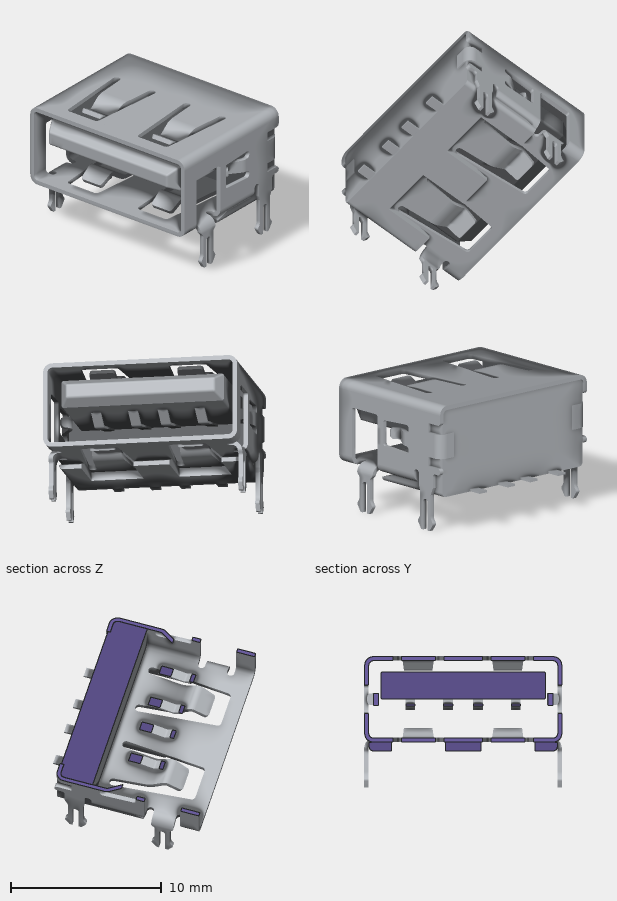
import cadquery as cq
import math

sheet = 0.3
shell_width = 13.1
shell_height = 5.7
shell_length = 10.0
corner_radius = 0.6
half_width = shell_width / 2
inner_half_width = half_width - sheet
mid_height = shell_height / 2

floor_end = 7.43
slot_width = 0.49
slot_top = 0.98
notch_front = 8.8
notch_bottom = 1.42
notch_top = 4.38
ear_radius = 0.21
wrap_tab_height = 1.66
wrap_tab_reach = 1.1

leg_stem_half = 0.52
leg_bottom = -3.0
front_leg_y = 2.535
leg_pitch = 6.0
leg_slit_width = 0.43
leg_slit_top = -0.87
barb_top = -2.115
barb_tip_z = -2.48
barb_tip_half = 0.76
barb_foot_half = 0.41
barb_root_radius = 0.5
barb_tip_radius = 0.17
front_leg_tab_half = 0.765
front_leg_bend_radius = 0.55
front_leg_shoulder = (-0.35, -0.595)
front_leg_shoulder_radii = (0.27, 0.2)
rear_leg_y = front_leg_y + leg_pitch
rear_leg_back = 9.29
rear_leg_back_taper = (0.0, -0.52)
rear_leg_front_taper = (-0.07, -0.38)

window_width = 2.51
window_top = 3.98
window_corner = 0.15

spring_slit = 0.52
spring_space = 2.0
wide_spring_x = 2.97

block_front = floor_end
block_rear = 9.9
skirt_front = 3.93
skirt_bottom = -0.58
skirt_edge_radius = 0.29
skirt_ramp_back = 4.88
skirt_recess_half = 1.765
tongue_half_width = 5.48
tongue_bottom = 2.85
tongue_top = 4.69
tongue_front = 0.03
tongue_tip_length = 0.9
tongue_tip_inset = 0.465
tongue_edge_radius = 0.15
tongue_tip_radius = 0.2

contact_positions = (-3.5, -1.0, 1.0, 3.5)
contact_width = 0.65
contact_thickness = 0.15
contact_path = [(8.0, 2.925), (3.9, 2.187), (2.6, 2.94)]
contact_bend_radius = 0.3
tail_end = 10.9
tail_z = -0.467


def bent_strip(plane, path, radii, thickness, width):
    """Constant-thickness strip along a polyline with rounded bends, extruded symmetrically by width."""
    directions = []
    for (x0, y0), (x1, y1) in zip(path, path[1:]):
        length = math.hypot(x1 - x0, y1 - y0)
        directions.append(((x1 - x0) / length, (y1 - y0) / length))

    def offset_side(shift):
        """Start point, bends as (entry, middle, exit) points, and end point on one face of the strip."""
        def moved(point, direction):
            return (point[0] - shift * direction[1], point[1] + shift * direction[0])

        bends = []
        for corner, radius, before, after in zip(path[1:-1], radii, directions, directions[1:]):
            cross = before[0] * after[1] - before[1] * after[0]
            dot = before[0] * after[0] + before[1] * after[1]
            turn = math.atan2(cross, dot)
            tangent = radius * math.tan(abs(turn) / 2)
            entry = (corner[0] - tangent * before[0], corner[1] - tangent * before[1])
            leave = (corner[0] + tangent * after[0], corner[1] + tangent * after[1])
            heading = math.atan2(before[1], before[0]) + turn / 2
            middle_direction = (math.cos(heading), math.sin(heading))
            inward = math.copysign(radius / math.cos(turn / 2) - radius, turn)
            middle = (
                corner[0] - inward * middle_direction[1],
                corner[1] + inward * middle_direction[0],
            )
            bends.append((moved(entry, before), moved(middle, middle_direction), moved(leave, after)))
        return moved(path[0], directions[0]), bends, moved(path[-1], directions[-1])

    left_start, left_bends, left_end = offset_side(thickness / 2)
    right_start, right_bends, right_end = offset_side(-thickness / 2)
    outline = cq.Workplane(plane).moveTo(*left_start)
    for entry, middle, leave in left_bends:
        outline = outline.lineTo(*entry).threePointArc(middle, leave)
    outline = outline.lineTo(*left_end).lineTo(*right_end)
    for entry, middle, leave in reversed(right_bends):
        outline = outline.lineTo(*leave).threePointArc(middle, entry)
    return outline.lineTo(*right_start).close().extrude(width / 2, both=True)


def box_between(x_range, y_range, z_range):
    size = [high - low for low, high in (x_range, y_range, z_range)]
    corner = (x_range[0], y_range[0], z_range[0])
    return cq.Workplane("XY").box(*size, centered=False).translate(corner)


def both_sides(solid):
    """The left-hand solid together with its mirror image on the right."""
    return solid.add(solid.mirror("YZ"))


def add_all(body, solids):
    for solid in solids.vals():
        body = body.union(cq.Workplane(solid))
    return body


def cut_all(body, solids):
    for solid in solids.vals():
        body = body.cut(cq.Workplane(solid))
    return body


def trapezoid(root_y, root_half, tip_y, taper):
    """Tapered planform, symmetric about X = 0, as a prism reaching inwards from the wall."""
    tip_half = root_half - (root_y - tip_y) * math.tan(math.radians(taper))
    points = [(-root_half, root_y), (root_half, root_y), (tip_half, tip_y), (-tip_half, tip_y)]
    return cq.Workplane("XY").polyline(points).close().extrude(spring_space)


def spring_opening(root_y, tab_half, front_y, taper, corner):
    """Opening around a spring: tapered window with two round slit ends beside the spring's root."""
    opening = trapezoid(root_y, tab_half + spring_slit, front_y, taper)
    opening = opening.edges("|Z and <Y").fillet(corner)
    slit_x = tab_half + spring_slit / 2
    slit_ends = (
        cq.Workplane("XY")
        .pushPoints([(-slit_x, root_y), (slit_x, root_y)])
        .circle(spring_slit / 2)
        .extrude(spring_space)
    )
    wall = box_between((-half_width, half_width), (0, shell_length), (0, sheet))
    return opening.union(slit_ends).intersect(wall)


def spring(root_y, tab_half, taper, path, radii, tip_radius):
    """Spring rising from a wall whose outside is at Z = 0; path is its mid-line in (Y, height)."""
    strip = bent_strip("YZ", [(root_y, sheet / 2)] + path, radii, sheet, 4 * tab_half)
    blade = strip.intersect(trapezoid(root_y, tab_half, 0, taper))
    tip_y, tip_height = path[-1]
    tip_face = blade.faces(cq.NearestToPointSelector((0, tip_y, tip_height)))
    return tip_face.edges("not |X").fillet(tip_radius)


wide_spring_shape = dict(root_y=6.55, tab_half=1.24, taper=5)
wide_spring_path = [(4.15, sheet / 2), (3.09, 0.838), (2.015, 0.235)]
wide_opening = spring_opening(front_y=0.99, corner=0.25, **wide_spring_shape)
wide_spring = spring(path=wide_spring_path, radii=(1.1, 0.3), tip_radius=0.2, **wide_spring_shape)

side_spring_shape = dict(root_y=6.63, tab_half=0.47, taper=3)
side_spring_path = [(6.4, sheet / 2), (5.155, 0.959), (4.76, 0.275)]
side_opening = spring_opening(front_y=4.38, corner=0.15, **side_spring_shape)
side_spring = spring(path=side_spring_path, radii=(0.47, 0.35), tip_radius=0.25, **side_spring_shape)


def on_every_wall(wide_item, side_item):
    """Two wide items in the floor, two in the roof, and one narrow item in each side wall."""
    floor_items = both_sides(wide_item.translate((-wide_spring_x, 0, 0)))
    roof_items = floor_items.mirror("XY", (0, 0, mid_height))
    left_item = side_item.rotate((0, 0, 0), (0, 1, 0), 90).translate((-half_width, 0, mid_height))
    return floor_items.add(roof_items).add(both_sides(left_item))


def barbed_leg(leg_y, front_top, rear_top):
    """Leg silhouette seen along X, as a prism: given upper edges, then a split stem with outward barbs.

    The upper edges are (Y, Z) points, listed downwards and measured from the leg's middle.
    """
    lower = [
        (leg_stem_half, barb_top),
        (barb_tip_half, barb_tip_z),
        (barb_foot_half, leg_bottom),
    ]
    front_edge = front_top + [(-y, z) for y, z in lower]
    outline = rear_top + lower + front_edge[::-1]
    leg = cq.Workplane("YZ", origin=(-half_width, leg_y, 0)).polyline(outline).close().extrude(half_width)
    for side in (-1, 1):
        leg = round_corner(leg, leg_y + side * leg_stem_half, barb_top, barb_root_radius)
        leg = round_corner(leg, leg_y + side * barb_tip_half, barb_tip_z, barb_tip_radius)
    return leg.cut(side_slot(leg_y, leg_slit_width, leg_bottom, leg_slit_top))


def round_corner(leg, y, z, radius):
    corner = (-half_width / 2, y, z)
    return leg.edges("|X").edges(cq.NearestToPointSelector(corner)).fillet(radius)


def side_slot(center_y, width, bottom, top):
    """Cutter through both side walls: a vertical slot with a round top."""
    left = center_y - width / 2
    right = center_y + width / 2
    spring_line = top - width / 2
    return (
        cq.Workplane("YZ")
        .moveTo(left, bottom)
        .lineTo(left, spring_line)
        .threePointArc((center_y, top), (right, spring_line))
        .lineTo(right, bottom)
        .close()
        .extrude(half_width, both=True)
    )


def rear_leg():
    """Leg hanging straight down from the rear of the side wall."""
    slot_rear = floor_end + slot_width
    rear_offset = rear_leg_back - rear_leg_y
    front_offset = slot_rear - rear_leg_y
    rear_top = [
        (rear_offset, corner_radius),
        (rear_offset, rear_leg_back_taper[0]),
        (leg_stem_half, rear_leg_back_taper[1]),
    ]
    front_top = [
        (front_offset, corner_radius),
        (front_offset, rear_leg_front_taper[0]),
        (-leg_stem_half, rear_leg_front_taper[1]),
    ]
    wall_plane = box_between(
        (-half_width, -inner_half_width), (0, shell_length), (leg_bottom, shell_height)
    )
    return barbed_leg(rear_leg_y, front_top, rear_top).intersect(wall_plane)


def front_leg():
    """Leg on a tab that leaves the floor through the side window and bends down."""
    shoulder_top, shoulder_bottom = front_leg_shoulder
    rear_top = [
        (front_leg_tab_half, sheet),
        (front_leg_tab_half, shoulder_top),
        (leg_stem_half, shoulder_bottom),
    ]
    front_top = [(-y, z) for y, z in rear_top]
    leg = barbed_leg(front_leg_y, front_top, rear_top)
    outer_radius, inner_radius = front_leg_shoulder_radii
    for side in (-1, 1):
        leg = round_corner(leg, front_leg_y + side * front_leg_tab_half, shoulder_top, outer_radius)
        leg = round_corner(leg, front_leg_y + side * leg_stem_half, shoulder_bottom, inner_radius)
    bend_corner = (-half_width + sheet / 2, sheet / 2)
    bend_start = (bend_corner[0] + front_leg_bend_radius + sheet, sheet / 2)
    path = [bend_start, bend_corner, (bend_corner[0], leg_bottom)]
    strip = bent_strip("XZ", path, [front_leg_bend_radius], sheet, 2 * shell_length)
    return leg.intersect(strip)


def rounded_tube():
    outer = (
        box_between((-half_width, half_width), (0, shell_length), (0, shell_height))
        .edges("|Y")
        .fillet(corner_radius)
    )
    inner = (
        box_between(
            (-inner_half_width, inner_half_width), (0, shell_length), (sheet, shell_height - sheet)
        )
        .edges("|Y")
        .fillet(corner_radius - sheet)
    )
    return outer.cut(inner)


def cut_rear_end(body):
    """Shortened floor, leg slots, and the notches that leave an ear and a wrap tab on each side."""
    across = (-half_width, half_width)
    body = body.cut(box_between(across, (floor_end, shell_length), (0, corner_radius)))
    body = body.cut(side_slot(floor_end + slot_width / 2, slot_width, 0, slot_top))
    lower_notch = box_between(across, (rear_leg_back, shell_length), (0, slot_top))
    body = body.cut(lower_notch.edges("|X and <Y and >Z").fillet(ear_radius))
    body = body.cut(box_between(across, (notch_front, shell_length), (notch_bottom, notch_top)))
    for z in (slot_top, notch_bottom, notch_top):
        for side in (-1, 1):
            corner = (side * (half_width - sheet / 2), shell_length, z)
            body = body.edges("|X").edges(cq.NearestToPointSelector(corner)).fillet(ear_radius)
    return body


def wrap_tab():
    """Tab that continues the side wall and curls round behind the insulator."""
    wall_x = -half_width + sheet / 2
    rear_y = shell_length - sheet / 2
    path = [(wall_x, notch_front), (wall_x, rear_y), (wall_x + wrap_tab_reach, rear_y)]
    strip = bent_strip("XY", path, [corner_radius - sheet / 2], sheet, wrap_tab_height)
    return strip.translate((0, 0, (notch_bottom + notch_top) / 2))


def cut_leg_windows(body):
    """Side windows, with a round-ended relief running into the floor on each side of the leg tab."""
    front = front_leg_y - window_width / 2
    rear = front_leg_y + window_width / 2
    window = box_between((-half_width, half_width), (front, rear), (sheet, window_top))
    body = body.cut(window.edges("|X and >Z").fillet(window_corner))
    bend_line = half_width - sheet / 2 - front_leg_bend_radius
    corner_strip = box_between((-half_width, -bend_line), (front, rear), (0, sheet))
    body = cut_all(body, both_sides(corner_strip))
    relief_width = window_width / 2 - front_leg_tab_half
    for relief_y in (front + relief_width / 2, rear - relief_width / 2):
        relief = (
            cq.Workplane("XY")
            .pushPoints([(-bend_line, relief_y), (bend_line, relief_y)])
            .circle(relief_width / 2)
            .extrude(sheet)
        )
        body = body.cut(relief)
    return body


shell = cut_leg_windows(cut_rear_end(rounded_tube()))
shell = cut_all(shell, on_every_wall(wide_opening, side_opening))
shell = add_all(shell, on_every_wall(wide_spring, side_spring))
for shell_piece in (wrap_tab(), rear_leg(), front_leg()):
    shell = add_all(shell, both_sides(shell_piece))


def rear_block():
    """Block that fills the rear of the shell down to the top of the floor's corner bends."""
    block = box_between(
        (-inner_half_width, inner_half_width),
        (block_front, block_rear),
        (corner_radius, shell_height - sheet),
    )
    return block.edges("|Y and >Z").fillet(corner_radius - sheet)


def skirt():
    """Slab under the floor, with ramps at the front and recesses below the floor springs."""
    side_profile = [
        (block_rear, skirt_bottom),
        (skirt_front, skirt_bottom),
        (skirt_front, skirt_bottom / 2),
        (skirt_ramp_back, 0),
        (block_front, 0),
        (block_front, corner_radius),
        (block_rear, corner_radius),
    ]
    slab = cq.Workplane("YZ").polyline(side_profile).close().extrude(inner_half_width, both=True)
    slab = slab.edges("|Y and <Z").fillet(skirt_edge_radius)
    recess = box_between(
        (-wide_spring_x - skirt_recess_half, -wide_spring_x + skirt_recess_half),
        (skirt_front, block_front),
        (skirt_bottom, 0),
    )
    return cut_all(slab, both_sides(recess))


def tongue():
    """Flat tongue with a bevelled, rounded tip."""
    height = tongue_top - tongue_bottom
    tip_back = tongue_front + tongue_tip_length
    middle = (tongue_bottom + tongue_top) / 2
    section = cq.Workplane("XZ", origin=(0, tip_back, middle)).rect(2 * tongue_half_width, height)
    tip_taper = math.degrees(math.atan(tongue_tip_inset / tongue_tip_length))
    tip = section.extrude(tongue_tip_length, taper=tip_taper)
    bar = box_between(
        (-tongue_half_width, tongue_half_width), (tip_back, block_front), (tongue_bottom, tongue_top)
    )
    blade = bar.union(tip)
    blade = blade.edges("not(|X or |Z)").fillet(tongue_edge_radius)
    return blade.faces("<Y").edges().fillet(tongue_tip_radius)


def contact(x):
    """Spring beam that dips below the tongue, and the solder tail of the same contact."""
    beam = bent_strip("YZ", contact_path, [contact_bend_radius], contact_thickness, contact_width)
    half_thickness = contact_thickness / 2
    tail = box_between(
        (-contact_width / 2, contact_width / 2),
        (block_rear, tail_end),
        (tail_z - half_thickness, tail_z + half_thickness),
    )
    return beam.add(tail).translate((x, 0, 0))


insulator = rear_block().union(skirt()).union(tongue())
for contact_x in contact_positions:
    insulator = add_all(insulator, contact(contact_x))
insulator = insulator.cut(shell)

result = cq.Compound.makeCompound([*shell.solids().vals(), *insulator.solids().vals()])